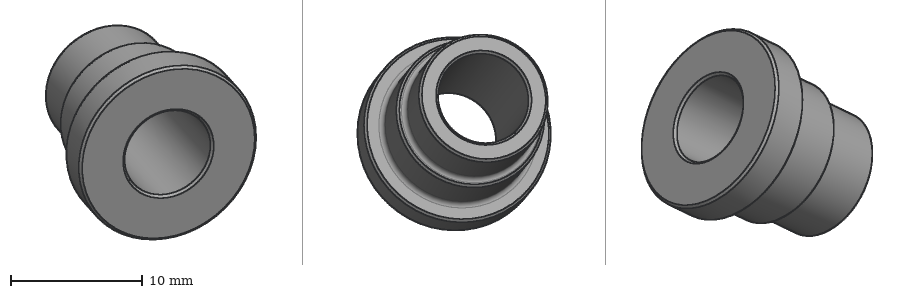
import cadquery as cq

flange_diameter = 14.5
body_diameter = 11.5
nose_diameter = 10
bore_diameter = 7.0

nose_length = 5.0
body_length = 5.0
flange_length = 3.0
total_length = nose_length + body_length + flange_length

edge_chamfer = 0.2
shoulder_fillet = 0.4


def cylinder_along_x(start, length, diameter):
    """Solid cylinder on the X axis, beginning at X = start."""
    return cq.Workplane("YZ", origin=(start, 0, 0)).circle(diameter / 2).extrude(length)


def chamfered_cylinder(start, length, diameter, chamfered_ends):
    """Cylinder on the X axis with the rims at the selected ends chamfered."""
    return cylinder_along_x(start, length, diameter).faces(chamfered_ends).edges().chamfer(edge_chamfer)


def shoulder_blend(shoulder_x, diameter):
    """Concave fillet ring between a cylinder and the larger step behind it."""
    radius = diameter / 2
    ring_length = shoulder_fillet
    ring = cylinder_along_x(shoulder_x - ring_length, ring_length, diameter + 2 * shoulder_fillet)
    groove = (
        cq.Workplane("XY")
        .center(shoulder_x - shoulder_fillet, radius + shoulder_fillet)
        .circle(shoulder_fillet)
        .revolve(360, (0, -radius - shoulder_fillet), (1, -radius - shoulder_fillet))
    )
    return ring.cut(groove)


body_start = nose_length
flange_start = nose_length + body_length
nose = chamfered_cylinder(0, nose_length, nose_diameter, "<X")
body = chamfered_cylinder(body_start, body_length, body_diameter, "<X")
flange = chamfered_cylinder(flange_start, flange_length, flange_diameter, "<X or >X")
bushing = nose.union(body).union(flange)

bushing = bushing.union(shoulder_blend(body_start, nose_diameter))
bushing = bushing.union(shoulder_blend(flange_start, body_diameter))

bushing = bushing.cut(cylinder_along_x(0, total_length, bore_diameter))
bore_mouths = cq.selectors.RadiusNthSelector(0)
result = bushing.faces("<X or >X").edges(bore_mouths).chamfer(edge_chamfer)